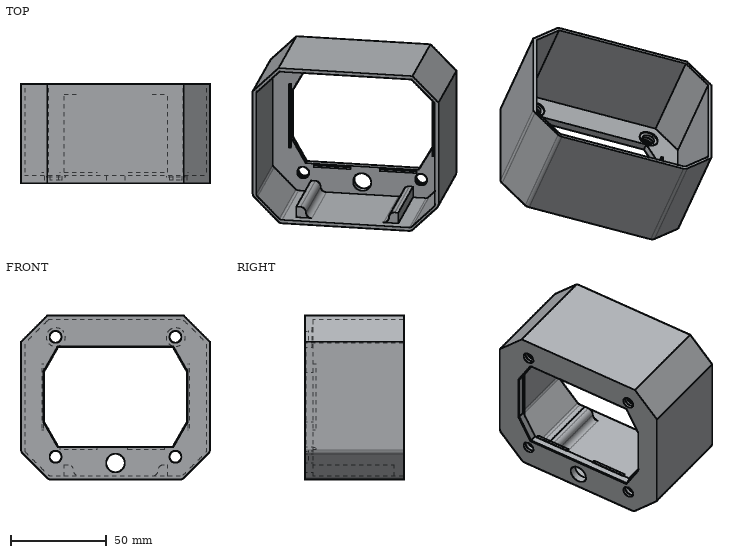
import cadquery as cq

WIDTH = 99.0
DEPTH = 52.1
HEIGHT = 85.9
TOP_CORNER = 13.9
BOTTOM_CORNER = 14.6
OUTER_ROUND = 3.0

PLATE = 4.2
WALL = 2.0
CAVITY_TOP_CORNER = 12.4
CAVITY_BOTTOM_CORNER = 12.8
CAVITY_ROUND = 2.0

WINDOW_WIDTH = 74.8
WINDOW_HEIGHT = 52.1
WINDOW_Z = 43.4
WINDOW_CORNER_X = 7.4
WINDOW_CORNER_Z = 13.1
WINDOW_BEVEL = 0.4

SCREW_PITCH = 62.8
SCREW_DIAMETER = 6.0
SCREW_RELIEF_DIAMETER = 6.3
SCREW_RELIEF_START = 1.8
NUT_SPOT_DIAMETER = 9.9
NUT_SPOT_DEPTH = 0.6
CABLE_HOLE_DIAMETER = 9.6
CABLE_HOLE_Z = 8.7

RAIL_INNER_X = 22.1
RAIL_WIDTH = 5.0
RAIL_HEIGHT = 5.9
RAIL_BACK_Y = 46.6
RAIL_FOOT_RADIUS = 3.0
RAIL_CREST_RADIUS = RAIL_HEIGHT - RAIL_FOOT_RADIUS

TAB_DEPTH = 1.7
TAB_SETBACK = 0.3
TAB_THICKNESS = 1.0
TAB_LENGTH = 19.4
BOTTOM_TAB_STARTS = (-29.2, 6.0)
SIDE_TAB_LENGTH = 34.65

OVERLAP = 0.2


def sketch_plane(y):
    """XZ sketch plane at depth y; extruding by a positive length moves toward +Y."""
    return cq.Workplane(cq.Plane(origin=(0, y, 0), xDir=(1, 0, 0), normal=(0, -1, 0)))


def prism(sketch, length):
    return sketch.extrude(-length)


def octagon(y, half_width, bottom, top, low_cut, high_cut):
    """Rectangle with cut corners; each cut is its (X, Z) size."""
    low_x, low_z = low_cut
    high_x, high_z = high_cut
    right_side = [
        (half_width - low_x, bottom),
        (half_width, bottom + low_z),
        (half_width, top - high_z),
        (half_width - high_x, top),
    ]
    left_side = [(-x, z) for x, z in reversed(right_side)]
    return sketch_plane(y).polyline(right_side + left_side).close()


def round_lower_corners(solid, height_limit, radius):
    """Round the Y-direction edges at both ends of the two lower corner faces."""
    lower_edges = cq.selectors.BoxSelector(
        (-WIDTH, -DEPTH, -1), (WIDTH, 2 * DEPTH, height_limit)
    )
    return solid.edges("|Y").edges(lower_edges).fillet(radius)


def make_body():
    outline = octagon(
        0, WIDTH / 2, 0, HEIGHT, (BOTTOM_CORNER,) * 2, (TOP_CORNER,) * 2
    )
    return round_lower_corners(prism(outline, DEPTH), HEIGHT / 2, OUTER_ROUND)


def make_cavity():
    outline = octagon(
        PLATE,
        WIDTH / 2 - WALL,
        WALL,
        HEIGHT - WALL,
        (CAVITY_BOTTOM_CORNER,) * 2,
        (CAVITY_TOP_CORNER,) * 2,
    )
    cavity = prism(outline, DEPTH - PLATE + OVERLAP)
    return round_lower_corners(cavity, HEIGHT / 2, CAVITY_ROUND)


def make_window():
    cut = (WINDOW_CORNER_X, WINDOW_CORNER_Z)
    bottom = WINDOW_Z - WINDOW_HEIGHT / 2
    top = WINDOW_Z + WINDOW_HEIGHT / 2
    opening = prism(octagon(0, WINDOW_WIDTH / 2, bottom, top, cut, cut), PLATE + OVERLAP)
    bevel = (
        octagon(0, WINDOW_WIDTH / 2, bottom, top, cut, cut)
        .offset2D(WINDOW_BEVEL, "intersection")
        .extrude(-WINDOW_BEVEL, taper=45)
    )
    return opening.union(bevel)


def cylinder(x, z, diameter, start, end):
    return prism(sketch_plane(start).center(x, z).circle(diameter / 2), end - start)


def cut_holes(body):
    plate_rear = PLATE + OVERLAP
    for x in (-SCREW_PITCH / 2, SCREW_PITCH / 2):
        for z in (WINDOW_Z - SCREW_PITCH / 2, WINDOW_Z + SCREW_PITCH / 2):
            body = body.cut(cylinder(x, z, SCREW_DIAMETER, 0, plate_rear))
            body = body.cut(
                cylinder(x, z, SCREW_RELIEF_DIAMETER, SCREW_RELIEF_START, plate_rear)
            )
        upper_z = WINDOW_Z + SCREW_PITCH / 2
        body = body.cut(
            cylinder(x, upper_z, NUT_SPOT_DIAMETER, PLATE - NUT_SPOT_DEPTH, plate_rear)
        )
    return body.cut(cylinder(0, CABLE_HOLE_Z, CABLE_HOLE_DIAMETER, 0, plate_rear))


def make_rail():
    """Rail on the +X side, with a flared foot and a rounded crest facing the middle."""
    crest_z = WALL + RAIL_HEIGHT
    outer_x = RAIL_INNER_X + RAIL_WIDTH
    base_z = WALL - OVERLAP
    foot_x = RAIL_INNER_X - RAIL_FOOT_RADIUS
    profile = (
        sketch_plane(PLATE - OVERLAP)
        .moveTo(foot_x, base_z)
        .lineTo(foot_x, WALL)
        .radiusArc((RAIL_INNER_X, WALL + RAIL_FOOT_RADIUS), -RAIL_FOOT_RADIUS)
        .radiusArc((RAIL_INNER_X + RAIL_CREST_RADIUS, crest_z), RAIL_CREST_RADIUS)
        .lineTo(outer_x, crest_z)
        .lineTo(outer_x, base_z)
        .close()
    )
    return prism(profile, RAIL_BACK_Y - PLATE + OVERLAP)


def make_tabs():
    start_y = PLATE - OVERLAP
    length_y = TAB_DEPTH + OVERLAP
    bottom_tab_z = WINDOW_Z - WINDOW_HEIGHT / 2 - TAB_SETBACK - TAB_THICKNESS
    side_tab_x = WINDOW_WIDTH / 2 + TAB_SETBACK
    tabs = cq.Workplane()
    for x in BOTTOM_TAB_STARTS:
        tabs = tabs.add(
            cq.Workplane()
            .box(TAB_LENGTH, length_y, TAB_THICKNESS, centered=False)
            .translate((x, start_y, bottom_tab_z))
        )
    for x in (-side_tab_x - TAB_THICKNESS, side_tab_x):
        tabs = tabs.add(
            cq.Workplane()
            .box(TAB_THICKNESS, length_y, SIDE_TAB_LENGTH, centered=False)
            .translate((x, start_y, WINDOW_Z - SIDE_TAB_LENGTH / 2))
        )
    return tabs.combine()


body = make_body().cut(make_cavity()).cut(make_window())
body = cut_holes(body)
rail = make_rail()
result = body.union(rail).union(rail.mirror("YZ")).union(make_tabs())